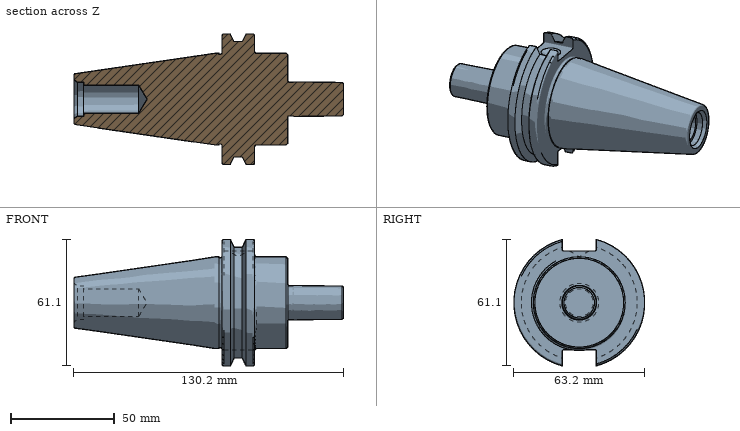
import cadquery as cq
import math

total_length = 130.2
gauge_x = 68.1
relief_x = 69.9
flange_x = 71.5
flange_width = 15.8
flange_end_x = flange_x + flange_width
hub_end_x = 103.3
neck_end_x = 105.6
nose_cone_x = 106.4

taper_large_radius = 44.4 / 2
taper_ratio = 7 / 24
taper_small_radius = taper_large_radius - gauge_x * taper_ratio / 2
relief_radius = 43.6 / 2
flange_radius = 31.6
hub_radius = taper_large_radius
nose_large_radius = 16.8 / 2
nose_root_radius = nose_large_radius - 0.1
nose_small_radius = 16.3 / 2

end_round = 0.8
flange_round = 0.9
hub_chamfer = 0.8
hub_root_round = 0.9
relief_root_round = 0.7
nose_root_round = 0.7
nose_chamfer = 0.8

groove_center_x = 79.3
groove_floor_radius = 28.0
groove_floor_width = 3.9
groove_mouth_width = 7.5

slot_width = 16.3
upper_slot_floor = 25.0
lower_slot_floor = 22.8
slot_floor_round = 0.5
dimple_diameter = 9.5

bore_mouth_radius = 9.4
pilot_radius = 16.3 / 2
mouth_depth = 1.7
pilot_depth = 4.7
bore_radius = 13.4 / 2
bore_depth = 31.3
drill_half_angle = math.radians(59)


def revolve_about_axis(profile):
    """Revolve a closed (x, radius) profile about the X axis."""
    return profile.close().revolve(360, (0, 0, 0), (1, 0, 0))


def make_body():
    """Taper, relief, flange, hub and nose as one turned blank."""
    profile = (
        cq.Workplane("XY")
        .moveTo(0, 0)
        .lineTo(0, taper_small_radius)
        .lineTo(gauge_x, taper_large_radius)
        .lineTo(relief_x, taper_large_radius)
        .lineTo(relief_x, relief_radius)
        .lineTo(flange_x - relief_root_round, relief_radius)
        .radiusArc((flange_x, relief_radius + relief_root_round), -relief_root_round)
        .lineTo(flange_x, flange_radius - flange_round)
        .radiusArc((flange_x + flange_round, flange_radius), flange_round)
        .lineTo(flange_end_x - flange_round, flange_radius)
        .radiusArc((flange_end_x, flange_radius - flange_round), flange_round)
        .lineTo(flange_end_x, hub_radius + hub_root_round)
        .radiusArc((flange_end_x + hub_root_round, hub_radius), -hub_root_round)
        .lineTo(hub_end_x - hub_chamfer, hub_radius)
        .lineTo(hub_end_x, hub_radius - hub_chamfer)
        .lineTo(hub_end_x, nose_root_radius + nose_root_round)
        .radiusArc((hub_end_x + nose_root_round, nose_root_radius), -nose_root_round)
        .lineTo(neck_end_x, nose_root_radius)
        .lineTo(nose_cone_x, nose_large_radius)
        .lineTo(total_length - nose_chamfer, nose_small_radius)
        .lineTo(total_length, nose_small_radius - nose_chamfer)
        .lineTo(total_length, 0)
    )
    return revolve_about_axis(profile).faces("<X").edges().fillet(end_round)


def make_gripper_groove():
    """Ring with a trapezoid section that widens outward."""
    floor_half = groove_floor_width / 2
    mouth_half = groove_mouth_width / 2
    outer_radius = flange_radius + 1.3
    profile = (
        cq.Workplane("XY")
        .moveTo(groove_center_x - floor_half, groove_floor_radius)
        .lineTo(groove_center_x - mouth_half, flange_radius)
        .lineTo(groove_center_x - mouth_half, outer_radius)
        .lineTo(groove_center_x + mouth_half, outer_radius)
        .lineTo(groove_center_x + mouth_half, flange_radius)
        .lineTo(groove_center_x + floor_half, groove_floor_radius)
    )
    return revolve_about_axis(profile)


def make_drive_slot(floor_height):
    """Slot across the flange on the +Z side, with a conical dimple in its floor."""
    slot_height = flange_radius
    slot = (
        cq.Workplane("XY", origin=(flange_x + flange_width / 2, 0, floor_height))
        .box(flange_width, slot_width, slot_height, centered=(True, True, False))
        .edges("|X and <Z")
        .fillet(slot_floor_round)
    )
    dimple_radius = dimple_diameter / 2
    dimple_depth = dimple_radius / math.tan(drill_half_angle)
    dimple = cq.Solid.makeCone(
        dimple_radius, 0, dimple_depth,
        pnt=cq.Vector(groove_center_x, 0, floor_height), dir=cq.Vector(0, 0, -1),
    )
    return slot, cq.Workplane(dimple)


def make_bore():
    """Stepped bore with a conical mouth and a drill-point bottom."""
    profile = (
        cq.Workplane("XY")
        .moveTo(0, 0)
        .lineTo(0, bore_mouth_radius)
        .lineTo(mouth_depth, pilot_radius)
        .lineTo(pilot_depth, pilot_radius)
        .lineTo(pilot_depth, bore_radius)
        .lineTo(bore_depth, bore_radius)
        .lineTo(bore_depth + bore_radius / math.tan(drill_half_angle), 0)
    )
    return revolve_about_axis(profile)


upper_slot, upper_dimple = make_drive_slot(upper_slot_floor)
lower_slot, _ = make_drive_slot(lower_slot_floor)

result = (
    make_body()
    .cut(make_gripper_groove())
    .cut(upper_slot)
    .cut(upper_dimple)
    .cut(lower_slot.rotate((0, 0, 0), (1, 0, 0), 180))
    .cut(make_bore())
)